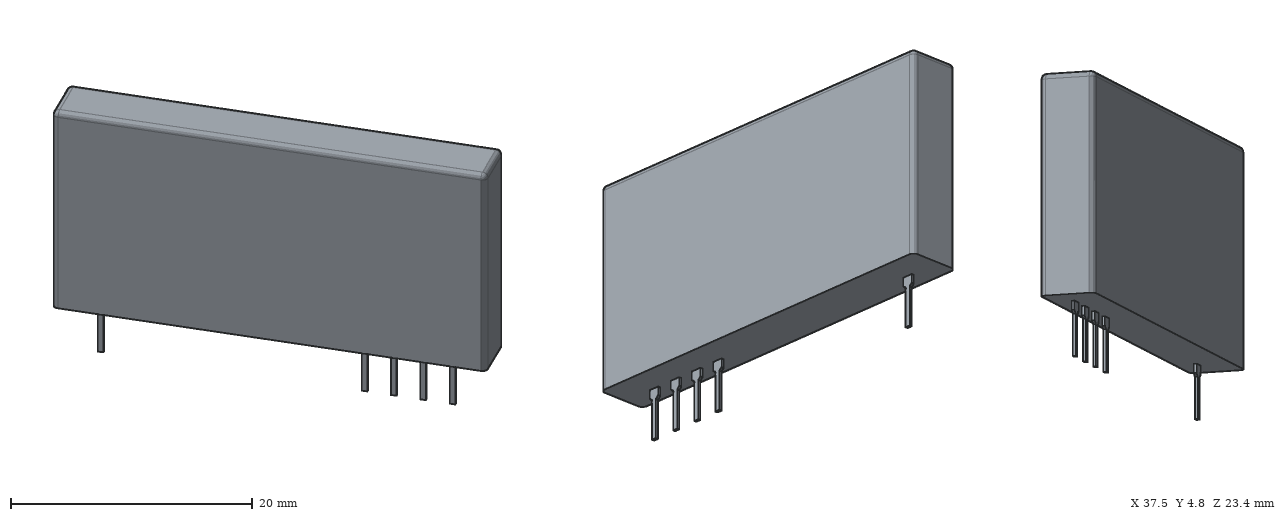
import cadquery as cq

case_length = 37.55
case_depth = 4.8
case_height = 18.78
case_edge_radius = 0.5

pin_length = 4.62
pin_thickness = 0.25
pin_width = 0.5
shoulder_width = 1.0
shoulder_straight_length = 0.8
shoulder_taper_length = (shoulder_width - pin_width) / 2

row_span = 30.45
row_pitches = 12
row_pitch = row_span / row_pitches
pin_places = [0, 9, 10, 11, 12]
first_pin_x = -15.15
row_y = -0.53


def make_case():
    """Block with every edge rounded except those of the flat underside."""
    block = cq.Workplane("XY").box(case_length, case_depth, case_height, centered=(True, True, False))
    return block.edges("|Z or >Z").fillet(case_edge_radius)


def make_pin(x):
    """Flat pin hanging from the case underside, centred on x."""
    half_shoulder = shoulder_width / 2
    half_pin = pin_width / 2
    taper_top = -shoulder_straight_length
    taper_bottom = taper_top - shoulder_taper_length
    outline = [
        (-half_shoulder, 0),
        (half_shoulder, 0),
        (half_shoulder, taper_top),
        (half_pin, taper_bottom),
        (half_pin, -pin_length),
        (-half_pin, -pin_length),
        (-half_pin, taper_bottom),
        (-half_shoulder, taper_top),
    ]
    pin = cq.Workplane("XZ").polyline(outline).close().extrude(pin_thickness / 2, both=True)
    return pin.translate((x, row_y, 0))


case = make_case()
pins = [make_pin(first_pin_x + place * row_pitch) for place in pin_places]

result = cq.Compound.makeCompound([case.val(), *[pin.val() for pin in pins]])